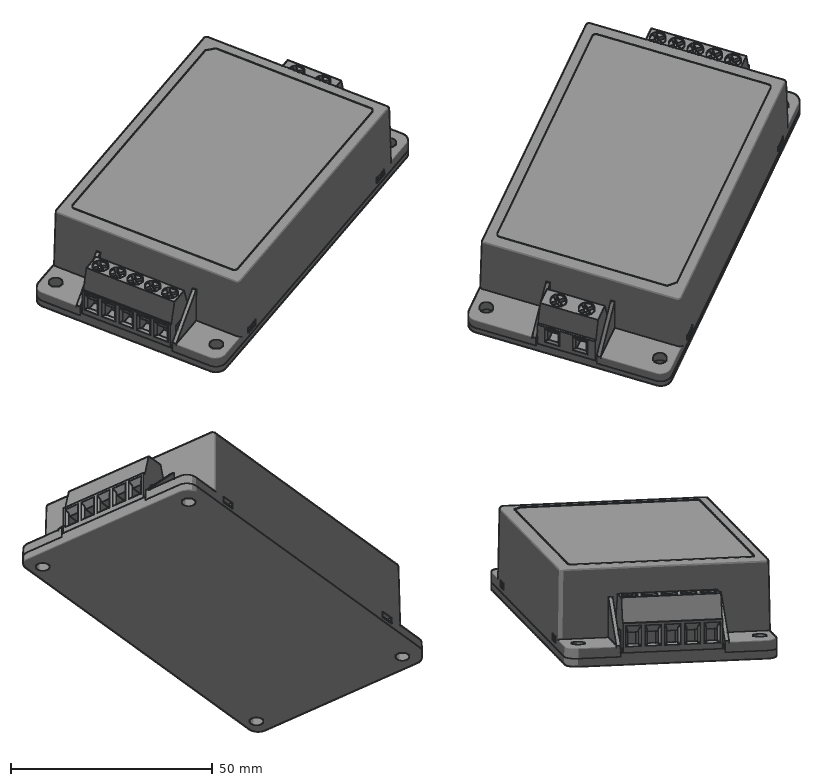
import cadquery as cq
import math

LENGTH = 96.0
WIDTH = 54.0
HEIGHT = 23.3

BASE_HEIGHT = 2.2
BASE_EDGE_RADIUS = 0.6
CORNER_RADIUS = 3.0
SILL_HEIGHT = 3.2
LEDGE_HEIGHT = 4.0
LEDGE_END = 47.0

FLANGE_TOP = 5.1
FLANGE_EDGE_RADIUS = 0.5
WALL_END = 38.0
DRAFT_ANGLE = 1.0
COVER_EDGE_RADIUS = 1.0
HOLE_DIAMETER = 3.5
HOLE_X = 23.0
HOLE_Y = 43.1

LABEL_WIDTH = 47.3
LABEL_LENGTH = 69.0
LABEL_DEPTH = 0.2
LABEL_CHAMFER = 1.9
LABEL_CORNER_RADIUS = 1.0

RIB_THICKNESS = 1.1
RIB_TOP = 15.4
RIB_OVERLAP = 1.0

NOTCH_Y = 32.1
NOTCH_LENGTH = 3.7
NOTCH_BOTTOM = 3.5
NOTCH_TOP = 5.0
NOTCH_DEPTH = 0.2
RAMP_MARGIN = 0.3

BLOCK_TOP = 16.8
BLOCK_SHOULDER = 10.7
SHOULDER_Y = 47.4
CROWN_OUTER_Y = 45.9
CROWN_INNER_Y = 41.1
BLOCK_REAR_Y = 38.1
REAR_SLOPE = 0.31

ENTRY_BOTTOM = 4.7
ENTRY_TOP = 10.0
ENTRY_WIDTH = 4.0
FLARE_BOTTOM = 5.3
THROAT_BOTTOM = 4.3
THROAT_TOP = 8.2
THROAT_WIDTH = 2.8
FLARE_TOP = 8.8
FLARE_DEPTH = 0.6
THROAT_DEPTH = 3.8
REAR_POCKET_Y = 39.5

SCREW_Y = 43.5
SCREW_RADIUS = 2.0
SCREW_SINK = 0.5
CROSS_WIDTH = 0.9
CROSS_DEPTH = 1.2

FIVE_POLE_COUNT = 5
FIVE_POLE_PITCH = 5.0
FIVE_POLE_WIDTH = 25.2
FIVE_POLE_OPENING = 26.5
EAR_INNER_Y = 42.6
EAR_OUTER_Y = 45.2
EAR_TOP = 8.3

TWO_POLE_COUNT = 2
TWO_POLE_PITCH = 7.5
TWO_POLE_WIDTH = 15.4
TWO_POLE_OPENING = 16.1


def box(x_range, y_range, z_range):
    """Box between the given limits along each axis."""
    corner = (x_range[0], y_range[0], z_range[0])
    sizes = (x_range[1] - x_range[0], y_range[1] - y_range[0], z_range[1] - z_range[0])
    return cq.Workplane("XY").box(*sizes, centered=False).translate(corner)


def centred_box(width, y_range, z_range):
    """Box of the given width, symmetric about X = 0."""
    return box((-width / 2, width / 2), y_range, z_range)


def profile_along_x(points, width):
    """YZ outline extruded along X, symmetric about X = 0."""
    return cq.Workplane("YZ").polyline(points).close().extrude(width / 2, both=True)


def to_front(shape):
    """Turn a shape made at the +Y end round to the -Y end."""
    return shape.rotate((0, 0, 0), (0, 0, 1), 180)


def rounded_plate(bottom, top, taper=0):
    """Full-size plate with rounded corners."""
    outline = cq.Workplane("XY").workplane(offset=bottom).sketch()
    outline = outline.rect(WIDTH, LENGTH).vertices().fillet(CORNER_RADIUS).finalize()
    return outline.extrude(top - bottom, taper=taper)


def screw_holes():
    """Mounting holes through the four corners."""
    centres = [(x, y) for x in (-HOLE_X, HOLE_X) for y in (-HOLE_Y, HOLE_Y)]
    return cq.Workplane("XY").pushPoints(centres).circle(HOLE_DIAMETER / 2).extrude(HEIGHT)


def terminal_seat(opening):
    """Sill and raised step that fill one end opening of the cover."""
    sill = centred_box(opening, (WALL_END, LENGTH / 2), (0, SILL_HEIGHT))
    step = centred_box(opening, (WALL_END, LEDGE_END), (0, LEDGE_HEIGHT))
    sill = sill.edges(">Y and <Z").fillet(BASE_EDGE_RADIUS)
    return sill.union(step)


def make_base():
    plate = rounded_plate(0, BASE_HEIGHT).faces("<Z").edges().fillet(BASE_EDGE_RADIUS)
    plate = plate.union(terminal_seat(TWO_POLE_OPENING))
    plate = plate.union(to_front(terminal_seat(FIVE_POLE_OPENING)))
    return plate.cut(screw_holes())


def cover_block():
    """Drafted housing block with rounded upright and top edges."""
    block = (
        cq.Workplane("XY")
        .workplane(offset=BASE_HEIGHT)
        .rect(WIDTH, 2 * WALL_END)
        .extrude(HEIGHT - BASE_HEIGHT, taper=DRAFT_ANGLE)
    )
    return block.edges("not(<Z)").fillet(COVER_EDGE_RADIUS)


def flange():
    plate = rounded_plate(BASE_HEIGHT, FLANGE_TOP, DRAFT_ANGLE)
    return plate.faces(">Z").edges().fillet(FLANGE_EDGE_RADIUS)


def opening_ribs(opening):
    """Two triangular ribs that flank one end opening."""
    foot_y = LENGTH / 2 - math.tan(math.radians(DRAFT_ANGLE)) * (FLANGE_TOP - BASE_HEIGHT)
    inner_y = WALL_END - RIB_OVERLAP
    outline = [
        (inner_y, BASE_HEIGHT),
        (LENGTH / 2, BASE_HEIGHT),
        (foot_y, FLANGE_TOP),
        (WALL_END, RIB_TOP),
        (inner_y, RIB_TOP),
    ]
    rib = profile_along_x(outline, RIB_THICKNESS)
    offset = (opening + RIB_THICKNESS) / 2
    return rib.translate((offset, 0, 0)).union(rib.translate((-offset, 0, 0)))


def opening_cut(opening):
    return centred_box(opening, (WALL_END, LENGTH), (0, HEIGHT))


def label_recess():
    """Shallow recess with three rounded corners and a chamfered one at -X, +Y."""
    y_range = (-LABEL_LENGTH / 2, LABEL_LENGTH / 2)
    recess = centred_box(LABEL_WIDTH, y_range, (HEIGHT - LABEL_DEPTH, HEIGHT))
    recess = recess.edges("|Z and >X").fillet(LABEL_CORNER_RADIUS)
    recess = recess.edges("|Z and <X and <Y").fillet(LABEL_CORNER_RADIUS)
    return recess.edges("|Z and <X and >Y").chamfer(LABEL_CHAMFER)


def latch_notch():
    """Shallow notch in the +X side with a 45-degree ramp behind it."""
    outside = WIDTH / 2
    half = NOTCH_LENGTH / 2
    frame = box((outside - NOTCH_DEPTH, outside), (-half, half), (NOTCH_BOTTOM, NOTCH_TOP))
    ramp_bottom = NOTCH_BOTTOM + RAMP_MARGIN
    ramp_start = outside - NOTCH_DEPTH
    ramp_run = NOTCH_TOP - ramp_bottom
    ramp = (
        cq.Workplane("XZ")
        .polyline([(ramp_start, ramp_bottom), (ramp_start, NOTCH_TOP), (ramp_start - ramp_run, NOTCH_TOP)])
        .close()
        .extrude(half - RAMP_MARGIN, both=True)
    )
    return frame.union(ramp)


def make_cover():
    cover = cover_block().union(flange())
    cover = cover.union(opening_ribs(TWO_POLE_OPENING))
    cover = cover.union(to_front(opening_ribs(FIVE_POLE_OPENING)))
    cover = cover.cut(opening_cut(TWO_POLE_OPENING))
    cover = cover.cut(to_front(opening_cut(FIVE_POLE_OPENING)))
    cover = cover.cut(label_recess())
    for y in (-NOTCH_Y, NOTCH_Y):
        notch = latch_notch()
        cover = cover.cut(notch.translate((0, y, 0)))
        cover = cover.cut(to_front(notch).translate((0, y, 0)))
    return cover.cut(screw_holes())


def block_body(width):
    """Block with a sloped crown, whose lip hangs over the edge of its seat."""
    rear_foot = BLOCK_TOP - (CROWN_INNER_Y - BLOCK_REAR_Y) / REAR_SLOPE
    outline = [
        (BLOCK_REAR_Y, LEDGE_HEIGHT),
        (LEDGE_END, LEDGE_HEIGHT),
        (LEDGE_END, SILL_HEIGHT),
        (LENGTH / 2, SILL_HEIGHT),
        (LENGTH / 2, BLOCK_SHOULDER),
        (SHOULDER_Y, BLOCK_SHOULDER),
        (CROWN_OUTER_Y, BLOCK_TOP),
        (CROWN_INNER_Y, BLOCK_TOP),
        (BLOCK_REAR_Y, rear_foot),
    ]
    return profile_along_x(outline, width)


def entry_flare():
    """Funnel at the mouth of a wire entry, narrowing inward from the +Y face."""
    mouth_middle = (ENTRY_TOP + ENTRY_BOTTOM) / 2
    neck_middle = (FLARE_TOP + FLARE_BOTTOM) / 2
    return (
        cq.Workplane("XZ", origin=(0, LENGTH / 2, mouth_middle))
        .rect(ENTRY_WIDTH, ENTRY_TOP - ENTRY_BOTTOM)
        .workplane(offset=FLARE_DEPTH)
        .center(0, neck_middle - mouth_middle)
        .rect(THROAT_WIDTH, FLARE_TOP - FLARE_BOTTOM)
        .loft()
    )


def wire_entry():
    """Funnel and throat; the throat's roof first carries on the funnel's roof slope."""
    neck_y = LENGTH / 2 - FLARE_DEPTH
    end_y = LENGTH / 2 - THROAT_DEPTH
    roof_run = FLARE_DEPTH * (FLARE_TOP - THROAT_TOP) / (ENTRY_TOP - FLARE_TOP)
    outline = [
        (neck_y, THROAT_BOTTOM),
        (neck_y, FLARE_TOP),
        (neck_y - roof_run, THROAT_TOP),
        (end_y, THROAT_TOP),
        (end_y, THROAT_BOTTOM),
    ]
    return entry_flare().union(profile_along_x(outline, THROAT_WIDTH))


def rear_pocket():
    """Shallow pocket in the rear face, with the width and top height of a wire entry."""
    return centred_box(ENTRY_WIDTH, (BLOCK_REAR_Y, REAR_POCKET_Y), (LEDGE_HEIGHT, ENTRY_TOP))


def screw_recess():
    """Sunk round screw head with a cross slot turned by 45 degrees."""
    top = cq.Workplane("XY", origin=(0, SCREW_Y, BLOCK_TOP))
    sink = top.circle(SCREW_RADIUS).extrude(-SCREW_SINK)
    head = top.circle(SCREW_RADIUS).extrude(-SCREW_SINK - CROSS_DEPTH)
    slots = top.transformed(rotate=(0, 0, 45))
    bar = slots.rect(2 * SCREW_RADIUS, CROSS_WIDTH).extrude(-SCREW_SINK - CROSS_DEPTH)
    cross_bar = slots.rect(CROSS_WIDTH, 2 * SCREW_RADIUS).extrude(-SCREW_SINK - CROSS_DEPTH)
    return sink.union(bar.union(cross_bar).intersect(head))


def pole_positions(poles, pitch):
    """X positions of the poles, centred on X = 0."""
    return [(pole - (poles - 1) / 2) * pitch for pole in range(poles)]


def make_terminal_block(poles, pitch, width):
    """Terminal block at the +Y end."""
    block = block_body(width)
    for x in pole_positions(poles, pitch):
        block = block.cut(wire_entry().translate((x, 0, 0)))
        block = block.cut(screw_recess().translate((x, 0, 0)))
    return block


def make_two_pole_block():
    return make_terminal_block(TWO_POLE_COUNT, TWO_POLE_PITCH, TWO_POLE_WIDTH)


def make_five_pole_block():
    """Five-pole block with rear pockets and ears that fill the gap to the ribs."""
    block = make_terminal_block(FIVE_POLE_COUNT, FIVE_POLE_PITCH, FIVE_POLE_WIDTH)
    for x in pole_positions(FIVE_POLE_COUNT, FIVE_POLE_PITCH):
        block = block.cut(rear_pocket().translate((x, 0, 0)))
    ear_y = (EAR_INNER_Y, EAR_OUTER_Y)
    ear_z = (LEDGE_HEIGHT, EAR_TOP)
    ears = centred_box(FIVE_POLE_OPENING, ear_y, ear_z)
    ears = ears.cut(centred_box(FIVE_POLE_WIDTH, ear_y, ear_z))
    return to_front(block.union(ears))


base = make_base()
cover = make_cover()
two_pole_block = make_two_pole_block()
five_pole_block = make_five_pole_block()

result = cq.Compound.makeCompound(
    [base.val(), cover.val(), two_pole_block.val(), five_pole_block.val()]
)